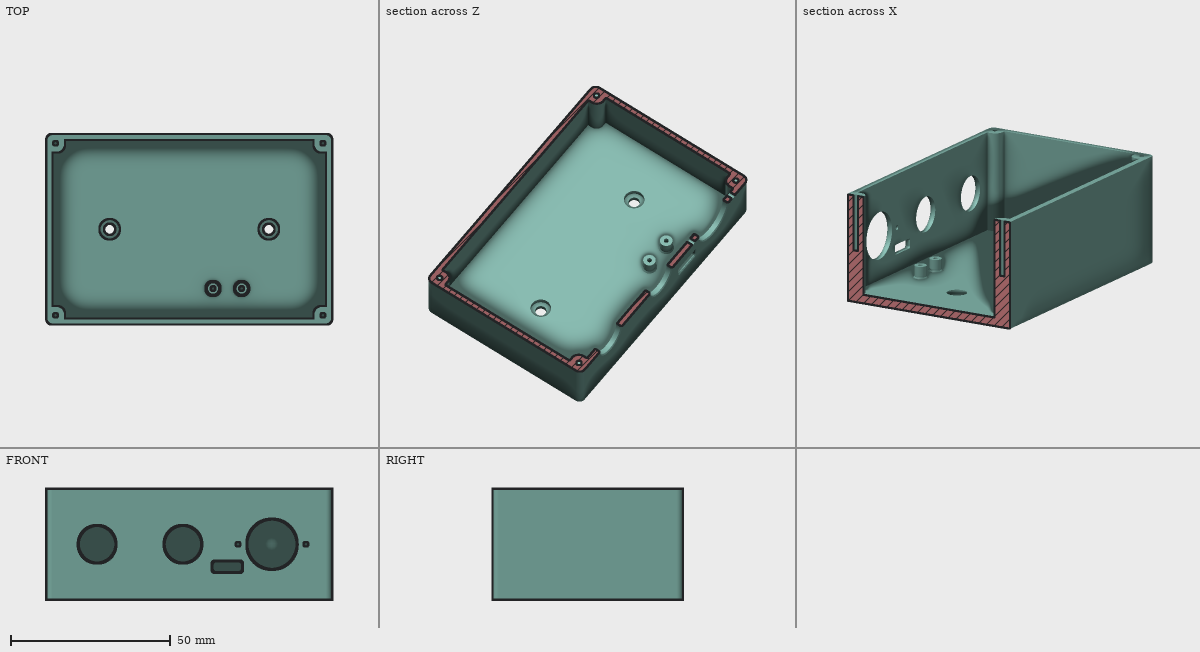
import cadquery as cq

length = 90.0
width = 60.0
height = 35.0
wall = 2.0
floor = 3.0
outer_corner_radius = 2.0

post_reach = 5.9
post_corner_radius = 2.5
lid_screw_inset = 3.0
lid_screw_diameter = 1.5
lid_screw_depth = 18.0

mount_spacing = 50.0
mount_hole_diameter = 3.5
mount_head_diameter = 6.5
mount_head_depth = 1.5

standoff_diameter = 4.0
standoff_height = 4.0
standoff_base_chamfer = 0.45
standoff_hole_diameter = 1.5
standoff_spacing = 9.0
standoff_y = -18.6

opening_chamfer = 0.4
jack_diameter = 11.5
jack_positions = [-29.0, -2.0]
jack_z = height / 2
midi_diameter = 15.5
midi_x = 26.0
midi_screw_diameter = 1.5
midi_screw_spacing = 21.3
power_x = 12.0
power_z = 10.4
power_length = 9.2
power_height = 3.2
power_corner_radius = 0.7

front_y = -width / 2


def make_shell():
    """Open box with square inner corners and a post in each one."""
    outer = cq.Workplane("XY").box(length, width, height, centered=(True, True, False))
    outer = outer.edges("|Z").fillet(outer_corner_radius)

    cavity_floor = cq.Workplane("XY").workplane(offset=floor)
    cavity = cavity_floor.rect(length - 2 * wall, width - 2 * wall).extrude(height)

    posts = (
        cavity_floor.rect(length, width, forConstruction=True)
        .vertices()
        .rect(2 * post_reach, 2 * post_reach)
        .extrude(height)
        .edges("|Z")
        .fillet(post_corner_radius)
    )
    return outer.cut(cavity.cut(posts))


def lid_screw_holes():
    return (
        cq.Workplane("XY", origin=(0, 0, height - lid_screw_depth))
        .rect(length - 2 * lid_screw_inset, width - 2 * lid_screw_inset, forConstruction=True)
        .vertices()
        .circle(lid_screw_diameter / 2)
        .extrude(lid_screw_depth)
    )


def mounting_holes():
    """Floor holes with their head recesses on the inside."""
    places = [(-mount_spacing / 2, 0), (mount_spacing / 2, 0)]
    holes = cq.Workplane("XY").pushPoints(places).circle(mount_hole_diameter / 2).extrude(floor)
    heads = (
        cq.Workplane("XY", origin=(0, 0, floor - mount_head_depth))
        .pushPoints(places)
        .circle(mount_head_diameter / 2)
        .extrude(mount_head_depth)
    )
    return holes.union(heads)


def standoff(x):
    """Post with a hole down to the floor and a chamfer around its base."""
    radius = standoff_diameter / 2
    base_radius = radius + standoff_base_chamfer
    hole_radius = standoff_hole_diameter / 2
    profile = (
        cq.Workplane("XZ", origin=(x, standoff_y, floor))
        .moveTo(hole_radius, 0)
        .lineTo(base_radius, 0)
        .lineTo(radius, standoff_base_chamfer)
        .lineTo(radius, standoff_height)
        .lineTo(hole_radius, standoff_height)
        .close()
    )
    return profile.revolve(360, (0, 0, 0), (0, 1, 0))


def front_plane(x, z):
    """Plane on the front face whose normal points into the box."""
    return cq.Workplane(cq.Plane(origin=(x, front_y, z), xDir=(1, 0, 0), normal=(0, 1, 0)))


def wall_opening(x, z, rim):
    """Opening through the front wall; the sketch `rim` is its outline at the outer end of the chamfer."""
    chamfer = front_plane(x, z).placeSketch(rim).extrude(opening_chamfer, taper=45)
    return chamfer.union(chamfer.faces(">Y").wires().toPending().extrude(wall))


def round_opening(x, diameter):
    return wall_opening(x, jack_z, cq.Sketch().circle(diameter / 2 + opening_chamfer))


def power_opening():
    rim = (
        cq.Sketch()
        .rect(power_length + 2 * opening_chamfer, power_height + 2 * opening_chamfer)
        .vertices()
        .fillet(power_corner_radius + opening_chamfer)
    )
    return wall_opening(power_x, power_z, rim)


def midi_screw_holes():
    half_spacing = midi_screw_spacing / 2
    return (
        front_plane(midi_x, jack_z)
        .pushPoints([(-half_spacing, 0), (half_spacing, 0)])
        .circle(midi_screw_diameter / 2)
        .extrude(wall)
    )


result = make_shell().cut(lid_screw_holes()).cut(mounting_holes())
for side in (-1, 1):
    result = result.union(standoff(power_x + side * standoff_spacing / 2))
for jack_x in jack_positions:
    result = result.cut(round_opening(jack_x, jack_diameter))
result = result.cut(round_opening(midi_x, midi_diameter))
result = result.cut(midi_screw_holes())
result = result.cut(power_opening())